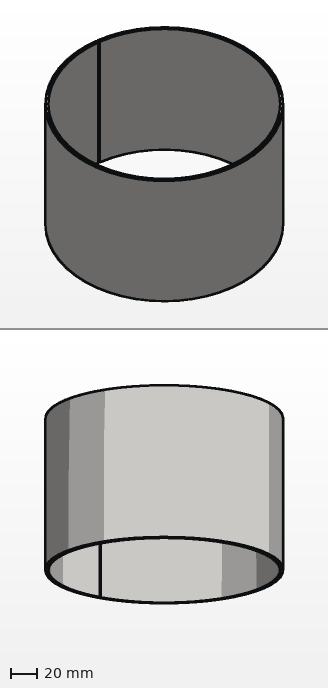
import cadquery as cq

outer_diameter = 180.0
wall = 2.5
height = 120.0
outer_chamfer = 0.5
inner_chamfer = 0.25
slit_width = 1.5

outer_radius = outer_diameter / 2
inner_radius = outer_radius - wall

wall_section = (
    cq.Workplane("XZ")
    .moveTo(inner_radius + inner_chamfer, 0)
    .lineTo(outer_radius - outer_chamfer, 0)
    .lineTo(outer_radius, outer_chamfer)
    .lineTo(outer_radius, height - outer_chamfer)
    .lineTo(outer_radius - outer_chamfer, height)
    .lineTo(inner_radius + inner_chamfer, height)
    .lineTo(inner_radius, height - inner_chamfer)
    .lineTo(inner_radius, inner_chamfer)
    .close()
)
ring = wall_section.revolve(360, (0, 0, 0), (0, 1, 0))

slit = cq.Workplane("XY").box(outer_radius, slit_width, height, centered=False)
slit = slit.translate((-outer_radius, 0, 0))

result = ring.cut(slit)